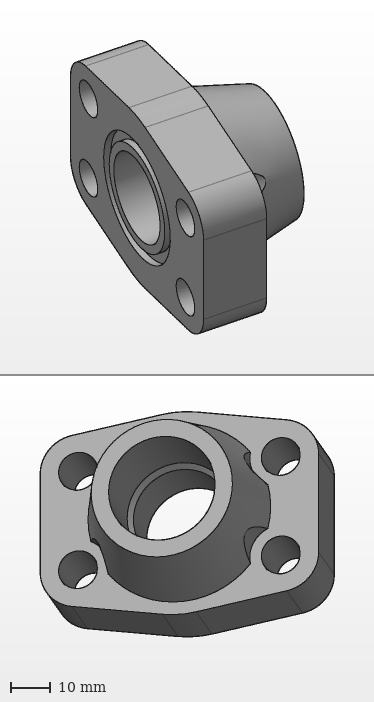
import cadquery as cq
import math

width = 72.0
height = 53.9
half_height = height / 2
plate_thickness = 18.0
total_depth = 38.0

bolt_x = 26.2
bolt_z = 13.1
bolt_diameter = 10.0
bolt_head_diameter = 16.0

neck_base_diameter = 47.2
neck_tip_diameter = 36.5
neck_length = total_depth - plate_thickness

bore_diameter = 25.0
bore_depth = 15.3
bore_taper_length = 1.6
neck_bore_diameter = 27.5
groove_inner_diameter = 30.0
groove_outer_diameter = 36.0
groove_depth = 2.0

corner_radius = width / 2 - bolt_x
bolt_distance = math.hypot(bolt_x, bolt_z)
bolt_angle = math.atan2(bolt_z, bolt_x)
edge_slope = math.asin((half_height - corner_radius) / bolt_distance) - bolt_angle

bolt_centres = [(sx * bolt_x, sz * bolt_z) for sx in (-1, 1) for sz in (-1, 1)]


def plane_at(y):
    """XZ plane at the given Y, extruding toward +Y, with local X reversed."""
    return cq.Workplane(cq.Plane(origin=(0, y, 0), xDir=(-1, 0, 0), normal=(0, 1, 0)))


def arc_point(centre_x, centre_z, radius, tilt):
    """Point on a circle, with the tilt measured from +Z toward +X."""
    return (centre_x + radius * math.sin(tilt), centre_z + radius * math.cos(tilt))


def make_plate():
    crown_end = arc_point(0, 0, half_height, edge_slope)
    corner_start = arc_point(bolt_x, bolt_z, corner_radius, edge_slope)
    corner_middle = arc_point(bolt_x, bolt_z, corner_radius, (edge_slope + math.pi / 2) / 2)
    crown_x, crown_z = crown_end
    start_x, start_z = corner_start
    middle_x, middle_z = corner_middle
    return (
        plane_at(0)
        .moveTo(-crown_x, crown_z)
        .threePointArc((0, half_height), crown_end)
        .lineTo(start_x, start_z)
        .threePointArc(corner_middle, (width / 2, bolt_z))
        .lineTo(width / 2, -bolt_z)
        .threePointArc((middle_x, -middle_z), (start_x, -start_z))
        .lineTo(crown_x, -crown_z)
        .threePointArc((0, -half_height), (-crown_x, -crown_z))
        .lineTo(-start_x, -start_z)
        .threePointArc((-middle_x, -middle_z), (-width / 2, -bolt_z))
        .lineTo(-width / 2, bolt_z)
        .threePointArc((-middle_x, middle_z), (-start_x, start_z))
        .close()
        .extrude(plate_thickness)
    )


def make_neck():
    cone = cq.Solid.makeCone(
        neck_base_diameter / 2,
        neck_tip_diameter / 2,
        neck_length,
        pnt=cq.Vector(0, plate_thickness, 0),
        dir=cq.Vector(0, 1, 0),
    )
    head_clearance = (
        plane_at(plate_thickness)
        .pushPoints(bolt_centres)
        .circle(bolt_head_diameter / 2)
        .extrude(neck_length)
    )
    return cq.Workplane(cone).cut(head_clearance)


def make_bore():
    front_radius = bore_diameter / 2
    neck_radius = neck_bore_diameter / 2
    taper_end = bore_depth + bore_taper_length
    return (
        cq.Workplane("XY")
        .lineTo(front_radius, 0)
        .lineTo(front_radius, bore_depth)
        .lineTo(neck_radius, taper_end)
        .lineTo(neck_radius, total_depth)
        .lineTo(0, total_depth)
        .close()
        .revolve(360, (0, 0, 0), (0, 1, 0))
    )


def make_bolt_holes():
    return plane_at(0).pushPoints(bolt_centres).circle(bolt_diameter / 2).extrude(plate_thickness)


def make_seal_groove():
    return (
        plane_at(0)
        .circle(groove_outer_diameter / 2)
        .circle(groove_inner_diameter / 2)
        .extrude(groove_depth)
    )


result = make_plate().union(make_neck())
result = result.cut(make_bore()).cut(make_bolt_holes()).cut(make_seal_groove())